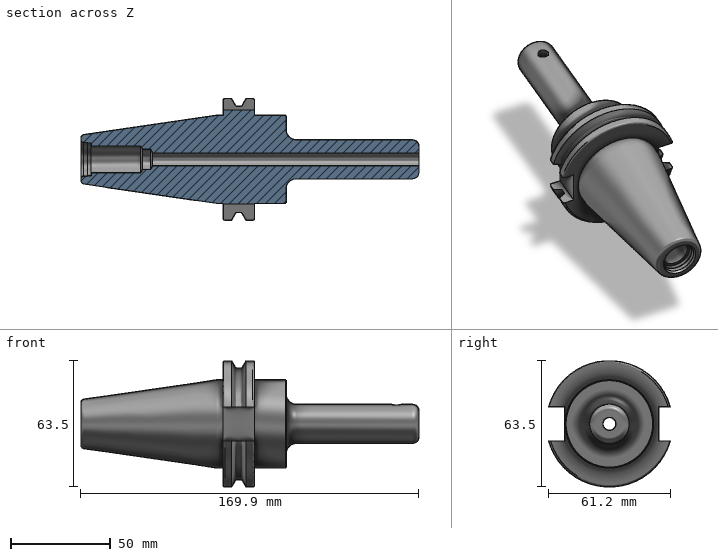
import cadquery as cq
import math


taper_length = 68.25
reach = 101.6
taper_end_x = -taper_length

gauge_diameter = 44.45
gauge_radius = gauge_diameter / 2
taper_ratio = 7 / 24
small_end_radius = (gauge_diameter - taper_ratio * taper_length) / 2
small_end_fillet = 2.0

flange_radius = 63.5 / 2
flange_start_x = 3.175
flange_width = 15.875
flange_end_x = flange_start_x + flange_width
flange_fillet = 1.0
groove_centre_x = 11.1
groove_floor_radius = 56.2 / 2
groove_mouth_width = 7.2
groove_half_angle = math.radians(30)
groove_floor_fillet = 0.6

hub_end_x = 34.925
hub_chamfer = 0.5

arbor_radius = 19.81 / 2
root_fillet = 5.0
tip_lead_length = 0.9
tip_lead_angle = math.radians(15)
tip_round_length = 2.3

slot_width = 17.0
deep_slot_floor_y = -22.5
shallow_slot_floor_y = 24.8

mouth_chamfer_radius = 17.9 / 2
pilot_radius = 16.8 / 2
pilot_step_radius = 16.3 / 2
thread_bore_radius = 13.39 / 2
mouth_depth = 1.3
pilot_depth = 3.3
pilot_step_depth = 5.2
thread_bore_depth = 30.0
inner_bore_radius = 10 / 2
inner_bore_depth = 35.0
coolant_radius = 6.35 / 2
drill_half_angle = math.radians(59)

cross_hole_radius = 5.36 / 2
cross_hole_from_tip = 11.4


def cylinder_along_x(radius, start_x, end_x):
    return cq.Workplane("YZ").workplane(offset=start_x).circle(radius).extrude(end_x - start_x)


def make_shank():
    profile = (
        cq.Workplane("XY")
        .moveTo(taper_end_x, 0)
        .lineTo(taper_end_x, small_end_radius)
        .lineTo(0, gauge_radius)
        .lineTo(0, 0)
        .close()
    )
    cone = profile.revolve(360, (0, 0, 0), (1, 0, 0))
    return cone.faces("<X").edges().fillet(small_end_fillet)


def make_flange():
    blank = cylinder_along_x(flange_radius, flange_start_x, flange_end_x)
    blank = blank.faces("<X or >X").edges().fillet(flange_fillet)
    groove_depth = flange_radius - groove_floor_radius
    half_mouth = groove_mouth_width / 2
    half_floor = half_mouth - groove_depth * math.tan(groove_half_angle)
    groove = (
        cq.Workplane("XY")
        .moveTo(groove_centre_x - half_mouth, flange_radius)
        .lineTo(groove_centre_x - half_floor, groove_floor_radius)
        .lineTo(groove_centre_x + half_floor, groove_floor_radius)
        .lineTo(groove_centre_x + half_mouth, flange_radius)
        .close()
        .revolve(360, (0, 0, 0), (1, 0, 0))
    )
    groove = groove.edges(cq.selectors.RadiusNthSelector(0)).fillet(groove_floor_fillet)
    return blank.cut(groove)


def make_drive_slot(floor_y):
    outer_y = math.copysign(flange_radius, floor_y)
    return (
        cq.Workplane("XY")
        .box(flange_width, abs(outer_y - floor_y), slot_width)
        .translate((flange_start_x + flange_width / 2, (outer_y + floor_y) / 2, 0))
    )


def make_arbor():
    root_end_x = hub_end_x + root_fillet
    round_start_x = reach - tip_round_length
    round_start_radius = arbor_radius - tip_lead_length * math.tan(tip_lead_angle)
    tip_round_radius = tip_round_length / (1 - math.sin(tip_lead_angle))
    tip_face_radius = round_start_radius - tip_round_radius * math.cos(tip_lead_angle)
    profile = (
        cq.Workplane("XY")
        .moveTo(hub_end_x, 0)
        .lineTo(hub_end_x, arbor_radius + root_fillet)
        .radiusArc((root_end_x, arbor_radius), -root_fillet)
        .lineTo(round_start_x - tip_lead_length, arbor_radius)
        .lineTo(round_start_x, round_start_radius)
        .radiusArc((reach, tip_face_radius), tip_round_radius)
        .lineTo(reach, 0)
        .close()
    )
    return profile.revolve(360, (0, 0, 0), (1, 0, 0))


def make_bore():
    mouth_end_x = taper_end_x + mouth_depth
    pilot_end_x = taper_end_x + pilot_depth
    step_end_x = taper_end_x + pilot_step_depth
    thread_end_x = taper_end_x + thread_bore_depth
    inner_end_x = taper_end_x + inner_bore_depth
    thread_cone_length = (thread_bore_radius - inner_bore_radius) / math.tan(drill_half_angle)
    inner_cone_length = (inner_bore_radius - coolant_radius) / math.tan(drill_half_angle)
    profile = (
        cq.Workplane("XY")
        .moveTo(taper_end_x, 0)
        .lineTo(taper_end_x, mouth_chamfer_radius)
        .lineTo(mouth_end_x, pilot_radius)
        .lineTo(pilot_end_x, pilot_radius)
        .lineTo(pilot_end_x, pilot_step_radius)
        .lineTo(step_end_x, pilot_step_radius)
        .lineTo(step_end_x, thread_bore_radius)
        .lineTo(thread_end_x, thread_bore_radius)
        .lineTo(thread_end_x + thread_cone_length, inner_bore_radius)
        .lineTo(inner_end_x, inner_bore_radius)
        .lineTo(inner_end_x + inner_cone_length, coolant_radius)
        .lineTo(reach, coolant_radius)
        .lineTo(reach, 0)
        .close()
    )
    return profile.revolve(360, (0, 0, 0), (1, 0, 0))


def make_cross_hole():
    return (
        cq.Workplane("XY")
        .center(reach - cross_hole_from_tip, 0)
        .circle(cross_hole_radius)
        .extrude(arbor_radius)
    )


hub = cylinder_along_x(gauge_radius, 0, hub_end_x).faces(">X").edges().chamfer(hub_chamfer)

result = make_shank().union(hub).union(make_flange()).union(make_arbor())
for floor_y in (deep_slot_floor_y, shallow_slot_floor_y):
    result = result.cut(make_drive_slot(floor_y))
result = result.cut(make_bore()).cut(make_cross_hole())